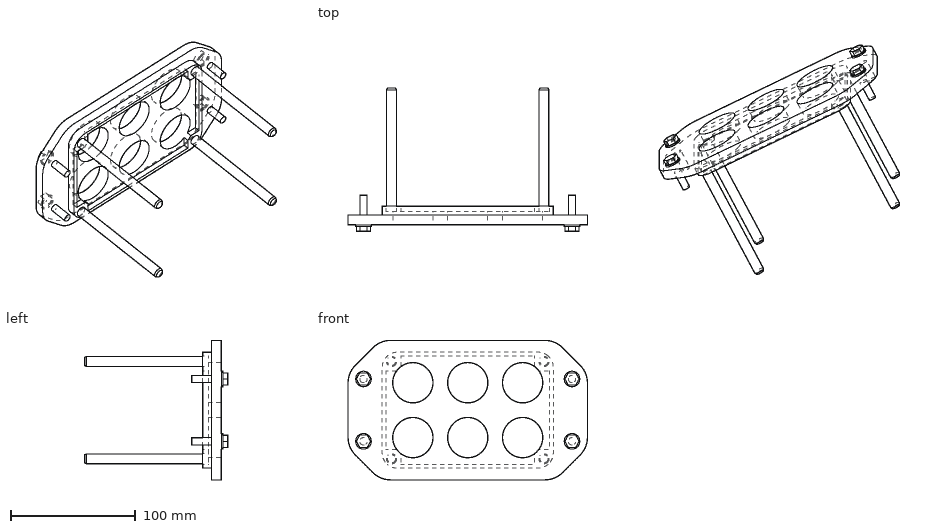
import cadquery as cq
import math

PLATE_LENGTH = 192.0
PLATE_HEIGHT = 112.0
PLATE_THICKNESS = 8.0
CORNER_CUT = 26.0
CORNER_ROUND = 20.0

HOLE_DIAMETER = 32.0
HOLE_PITCH = 44.0
HOLE_COLUMNS = 3
HOLE_ROWS = 2

FRAME_LENGTH = 137.0
FRAME_HEIGHT = 93.0
FRAME_THICKNESS = 7.0
FRAME_CORNER_RADIUS = 12.3
WEB_THICKNESS = 2.5
RIM_WIDTH = 3.0
PAD_SIZE = 15.0

ROD_DIAMETER = 8.0
ROD_TIP_TAPER_LENGTH = 1.5
ROD_TIP_TAPER_DEPTH = 0.8
ROD_SPACING_X = FRAME_LENGTH - PAD_SIZE
ROD_SPACING_Z = FRAME_HEIGHT - PAD_SIZE

BOLT_SPACING_X = 167.0
BOLT_SPACING_Z = 50.0
BOLT_DIAMETER = 6.0
BOLT_REACH = 15.7
FLANGE_DIAMETER = 12.5
FLANGE_THICKNESS = 1.2
HEAD_ACROSS_FLATS = 10.0
HEAD_HEIGHT = 4.0

OVERALL_DEPTH = 114.8
FRONT_OF_HEADS = -(FLANGE_THICKNESS + HEAD_HEIGHT)
PLATE_BACK = PLATE_THICKNESS
FRAME_BACK = PLATE_BACK + FRAME_THICKNESS
ROD_TIP = FRONT_OF_HEADS + OVERALL_DEPTH


def plane_at(y):
    """Sketch plane at station y, facing +Y, with its local y axis along Z."""
    return cq.Workplane(cq.Plane(origin=(0, y, 0), xDir=(-1, 0, 0), normal=(0, 1, 0)))


def make_plate():
    return (
        plane_at(0)
        .rect(PLATE_LENGTH, PLATE_HEIGHT)
        .extrude(PLATE_THICKNESS)
        .edges("|Y")
        .chamfer(CORNER_CUT)
        .edges("|Y")
        .fillet(CORNER_ROUND)
    )


def make_frame():
    outline = (
        plane_at(PLATE_BACK)
        .rect(FRAME_LENGTH, FRAME_HEIGHT)
        .extrude(FRAME_THICKNESS)
        .edges("|Y")
        .fillet(FRAME_CORNER_RADIUS)
    )
    pocket_depth = FRAME_THICKNESS - WEB_THICKNESS
    pocket_floor = plane_at(PLATE_BACK + WEB_THICKNESS)
    pocket_length = FRAME_LENGTH - 2 * RIM_WIDTH
    pocket_height = FRAME_HEIGHT - 2 * RIM_WIDTH
    pocket = pocket_floor.rect(pocket_length, pocket_height).extrude(pocket_depth)
    pads = (
        pocket_floor.rect(ROD_SPACING_X, ROD_SPACING_Z, forConstruction=True)
        .vertices()
        .rect(PAD_SIZE, PAD_SIZE)
        .extrude(pocket_depth)
    )
    return outline.cut(pocket.cut(pads))


def make_rods():
    return (
        plane_at(PLATE_BACK)
        .rect(ROD_SPACING_X, ROD_SPACING_Z, forConstruction=True)
        .vertices()
        .circle(ROD_DIAMETER / 2)
        .extrude(ROD_TIP - PLATE_BACK)
        .faces(">Y")
        .edges()
        .chamfer(ROD_TIP_TAPER_LENGTH, ROD_TIP_TAPER_DEPTH)
    )


def bolt_centres(y):
    return plane_at(y).rect(BOLT_SPACING_X, BOLT_SPACING_Z, forConstruction=True).vertices()


def make_bolts():
    across_corners = HEAD_ACROSS_FLATS / math.cos(math.pi / 6)
    heads = bolt_centres(FRONT_OF_HEADS).polygon(6, across_corners).extrude(HEAD_HEIGHT)
    flanges = bolt_centres(-FLANGE_THICKNESS).circle(FLANGE_DIAMETER / 2).extrude(FLANGE_THICKNESS)
    shanks = bolt_centres(0).circle(BOLT_DIAMETER / 2).extrude(PLATE_BACK + BOLT_REACH)
    return heads.union(flanges).union(shanks)


def make_openings():
    return (
        plane_at(0)
        .rarray(HOLE_PITCH, HOLE_PITCH, HOLE_COLUMNS, HOLE_ROWS)
        .circle(HOLE_DIAMETER / 2)
        .extrude(FRAME_BACK)
    )


body = make_plate().union(make_frame()).cut(make_openings())
result = body.union(make_rods()).union(make_bolts())